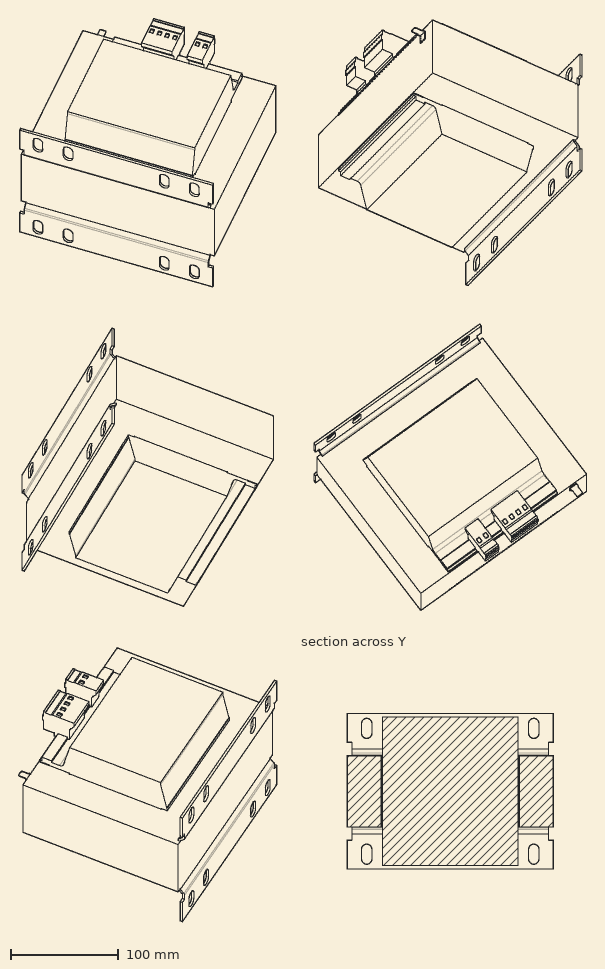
import cadquery as cq
import math


lamination_unit = 32.0
width = 6 * lamination_unit
core_depth = 5 * lamination_unit
window_length = 3 * lamination_unit
window_width = lamination_unit
centre_leg_width = 2 * lamination_unit
core_half_height = 33.25

plate_height = 145.0
plate_thickness = 2.5
joggle = 4.5
core_front_y = joggle + plate_thickness
core_rear_y = core_front_y + core_depth
bend_angle = 45.0
bend_corner_z = 34.0
bend_outer_radius = 2.5
notch_width = 4.5
notch_top_z = 45.5
slot_width = 9.5
slot_length = 18.5
slot_z = 58.5
slot_xs = (47.8, 77.7)

bobbin_width = 126.5
bobbin_half_height = 69.2
bobbin_front_y = 32.8
bobbin_lip_z = 36.2
bobbin_lip_rear_y = 166.1
front_ledge = 0.5
front_ledge_z = 37.0
brow_front_y = 39.7
brow_height = 3.0
hump_rear_y = 134.8
floor_z = 38.7
floor_corner_y = 142.2
floor_radius = 4.0
ridge_front_y = 153.8
ridge_rear_y = 163.9
ridge_z = 40.9

foot_front_y = 155.8
foot_rear_y = 165.5
foot_height = 0.7
foot_overhang = 0.2

terminal_width = 15.25
terminal_xs = (-22.65, -7.4, 22.65)
terminal_front_y = 147.3
terminal_neck_y = 152.0
terminal_rear_y = 179.3
terminal_bump_y = 180.3
terminal_top_z = 63.8
terminal_bottom_z = 39.4
nose_bottom_z = 58.9
neck_top_z = 51.9
bump_top_z = 57.9
bump_bottom_z = 51.6
groove_depth = 0.8
groove_rear_y = 177.2
groove_front_y = 171.3
groove_edge_y = 169.7
hook_rear_y = 168.0
hook_bottom_z = 35.5
pocket_pitch = terminal_width / 2
pocket_width = 3.4
pocket_front_y = 162.2
pocket_rear_y = 166.7
pocket_depth = 1.5

tab_x = -80.0
tab_thickness = 0.8
tab_width = 6.4
tab_shoulder_width = 7.8
tab_shoulder_y = 170.6
tab_tip_y = 178.3
tab_tip_chamfer = 0.8
tab_top_z = 28.0
tab_foot_bottom_z = 18.6


def box_between(x_size, y_min, y_max, z_min, z_max, x_center=0.0):
    """Box centred on x_center and spanning the given Y and Z ranges."""
    box = cq.Workplane("XY").box(x_size, y_max - y_min, z_max - z_min, centered=(True, False, False))
    return box.translate((x_center, y_min, z_min))


def extrude_profile(yz_points, x_size, x_center=0.0):
    """Closed outline in the YZ plane, extruded symmetrically about x_center."""
    profile = cq.Workplane("YZ").polyline(yz_points).close().extrude(x_size / 2, both=True)
    return profile.translate((x_center, 0, 0))


def edge_selector(y, z):
    """Selects the edge that runs along X at the given Y and Z."""
    margin = 0.1
    return cq.selectors.BoxSelector((-width, y - margin, z - margin), (width, y + margin, z + margin))


def make_core():
    """Core block with a window through the stack on either side of the centre leg."""
    core = box_between(width, core_front_y, core_rear_y, -core_half_height, core_half_height)
    window_front_y = core_front_y + lamination_unit
    for side in (-1, 1):
        window_x = side * (centre_leg_width + window_width) / 2
        window = box_between(
            window_width,
            window_front_y,
            window_front_y + window_length,
            -core_half_height,
            core_half_height,
            window_x,
        )
        core = core.cut(window)
    return core


def make_flange():
    """Upper flange: steps forward through two 45 degree bends, then runs up flat."""
    joggle_rise = joggle / math.tan(math.radians(bend_angle))
    bend_shift = plate_thickness * math.tan(math.radians(bend_angle / 2))
    outer_lower = (core_front_y, bend_corner_z + bend_shift)
    outer_upper = (0, bend_corner_z + joggle_rise)
    top_z = plate_height / 2
    flange = extrude_profile(
        [
            (joggle, 0),
            (joggle, bend_corner_z),
            outer_upper,
            (0, top_z),
            (plate_thickness, top_z),
            (plate_thickness, bend_corner_z + bend_shift + joggle_rise),
            outer_lower,
            (core_front_y, 0),
        ],
        width,
    )
    for y, z in (outer_lower, outer_upper):
        corner = edge_selector(y, z)
        flange = flange.edges(corner).fillet(bend_outer_radius)
    for side in (-1, 1):
        notch_x = side * (width - notch_width) / 2
        flange = flange.cut(
            box_between(notch_width, 0, core_front_y, core_half_height, notch_top_z, notch_x)
        )
    slot_points = [(side * x, slot_z) for x in slot_xs for side in (-1, 1)]
    slots = (
        cq.Workplane("XZ")
        .pushPoints(slot_points)
        .slot2D(slot_length, slot_width, 90)
        .extrude(-plate_thickness)
    )
    return flange.cut(slots)


def make_bobbin_half():
    """Upper half of the bobbin: sloped hump, rounded gutter and terminal ridge."""
    bobbin = extrude_profile(
        [
            (bobbin_front_y, 0),
            (bobbin_front_y, front_ledge_z),
            (bobbin_front_y + front_ledge, front_ledge_z),
            (brow_front_y, bobbin_half_height - brow_height),
            (brow_front_y, bobbin_half_height),
            (hump_rear_y, bobbin_half_height),
            (floor_corner_y, floor_z),
            (ridge_front_y, floor_z),
            (ridge_front_y, ridge_z),
            (ridge_rear_y, ridge_z),
            (ridge_rear_y, bobbin_lip_z),
            (bobbin_lip_rear_y, bobbin_lip_z),
            (bobbin_lip_rear_y, 0),
        ],
        bobbin_width,
    )
    gutter = edge_selector(floor_corner_y, floor_z)
    bobbin = bobbin.edges(gutter).fillet(floor_radius)
    foot = box_between(
        bobbin_width + 2 * foot_overhang, foot_front_y, foot_rear_y, 0, core_half_height + foot_height
    )
    return bobbin.union(foot)


def make_terminal(x_center):
    """Terminal block hooked over the bobbin ridge, with two wire pockets in its top."""
    groove_z = terminal_top_z - groove_depth
    block = extrude_profile(
        [
            (terminal_front_y, terminal_top_z),
            (groove_edge_y, terminal_top_z),
            (groove_front_y, groove_z),
            (groove_rear_y, groove_z),
            (groove_rear_y, terminal_top_z),
            (terminal_rear_y, terminal_top_z),
            (terminal_rear_y, bump_top_z),
            (terminal_bump_y, bump_top_z),
            (terminal_bump_y, bump_bottom_z),
            (terminal_rear_y, bump_bottom_z),
            (terminal_rear_y, terminal_bottom_z),
            (hook_rear_y, terminal_bottom_z),
            (hook_rear_y, hook_bottom_z),
            (ridge_rear_y, hook_bottom_z),
            (ridge_rear_y, ridge_z),
            (ridge_front_y, ridge_z),
            (ridge_front_y, floor_z),
            (terminal_neck_y, floor_z),
            (terminal_neck_y, neck_top_z),
            (terminal_front_y, nose_bottom_z),
        ],
        terminal_width,
        x_center,
    )
    for side in (-1, 1):
        pocket_x = x_center + side * pocket_pitch / 2
        block = block.cut(
            box_between(
                pocket_width,
                pocket_front_y,
                pocket_rear_y,
                terminal_top_z - pocket_depth,
                terminal_top_z,
                pocket_x,
            )
        )
    return block


def make_earth_tab():
    """Flat push-on tab standing out from a foot fixed to the rear of the core."""
    foot_rear = core_rear_y + tab_thickness
    tab_bottom_z = tab_top_z - tab_thickness
    foot = box_between(
        tab_shoulder_width, core_rear_y, foot_rear, tab_foot_bottom_z, tab_top_z, tab_x
    )
    shoulder = box_between(
        tab_shoulder_width, core_rear_y, tab_shoulder_y, tab_bottom_z, tab_top_z, tab_x
    )
    blade = box_between(tab_width, core_rear_y, tab_tip_y, tab_bottom_z, tab_top_z, tab_x)
    blade = blade.faces(">Y").edges("|Z").chamfer(tab_tip_chamfer)
    return foot.union(shoulder).union(blade)


result = make_core()
for half in (make_flange(), make_bobbin_half()):
    result = result.union(half).union(half.mirror("XY"))
for terminal_x in terminal_xs:
    result = result.union(make_terminal(terminal_x))
result = result.union(make_earth_tab())